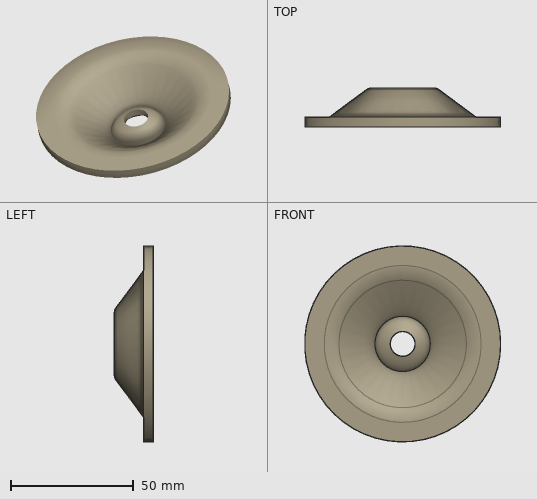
import cadquery as cq
import math

flange_diameter = 80.0
flange_thickness = 4.0

total_height = 16.0
cone_base_radius = 30.0
cone_half_angle = math.radians(53.5)
back_edge_radius = 4.0

mouth_radius = 32.0
mouth_round_end_radius = 26.0

hole_diameter = 10.0
dome_edge_radius = 11.3
dome_sphere_radius = 14.0
wall_thickness = 2.8

sin_a = math.sin(cone_half_angle)
cos_a = math.cos(cone_half_angle)
tan_a = math.tan(cone_half_angle)

mouth_round = (mouth_radius - mouth_round_end_radius) / cos_a
wall_start_depth = mouth_round * (1 - sin_a)
dome_edge_depth = wall_start_depth + (mouth_round_end_radius - dome_edge_radius) / tan_a

sphere_center = dome_edge_depth + math.sqrt(dome_sphere_radius**2 - dome_edge_radius**2)


def make_body():
    """Flange and solid cone, with the back edge of the cone rounded."""
    back_face_radius = cone_base_radius - (total_height - flange_thickness) * tan_a
    flange_radius = flange_diameter / 2
    profile = (
        cq.Workplane("XY")
        .polyline([
            (0, 0),
            (flange_radius, 0),
            (flange_radius, flange_thickness),
            (cone_base_radius, flange_thickness),
            (back_face_radius, total_height),
            (0, total_height),
        ])
        .close()
    )
    body = profile.revolve(360, (0, 0, 0), (0, 1, 0))
    return body.faces(">Y").edges().fillet(back_edge_radius)


def make_recess():
    """Volume removed from the front, ending in the domed seat and the hole."""
    half_turn = (math.pi / 2 - cone_half_angle) / 2
    mouth_middle = (
        mouth_radius - mouth_round * math.sin(half_turn),
        mouth_round * (1 - math.cos(half_turn)),
    )

    def dome_point(radius):
        return (radius, sphere_center - math.sqrt(dome_sphere_radius**2 - radius**2))

    hole_radius = hole_diameter / 2
    profile = (
        cq.Workplane("XY")
        .moveTo(0, 0)
        .lineTo(mouth_radius, 0)
        .threePointArc(mouth_middle, (mouth_round_end_radius, wall_start_depth))
        .lineTo(dome_edge_radius, dome_edge_depth)
        .threePointArc(dome_point((dome_edge_radius + hole_radius) / 2), dome_point(hole_radius))
        .lineTo(hole_radius, total_height)
        .lineTo(0, total_height)
        .close()
    )
    return profile.revolve(360, (0, 0, 0), (0, 1, 0))


def make_back_hollow():
    """Spherical hollow in the back, leaving an even wall behind the dome."""
    return cq.Workplane("XY").sphere(dome_sphere_radius - wall_thickness).translate((0, sphere_center, 0))


result = make_body().cut(make_recess()).cut(make_back_hollow())